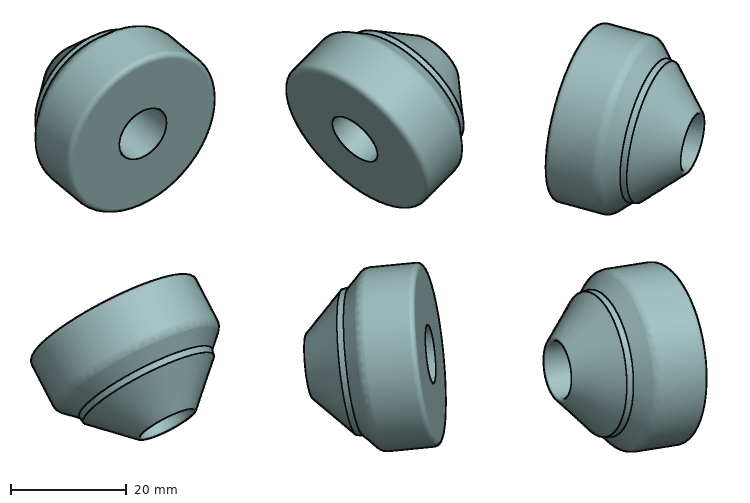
import cadquery as cq
import math

length = 21.2
outer_radius = 16.0
bore_radius = 5.1
lip_radius = 0.4
nose_cone_end = 7.07
seam_x = 8.25
band_end_radius = 12.9
shoulder_fillet = 2.0
rear_fillet = 1.0

diagonal = math.sqrt(0.5)
lip_center_radius = bore_radius + lip_radius
lip_cone_x = lip_radius * (1 - diagonal)
lip_cone_radius = lip_center_radius + lip_radius * diagonal
nose_cone_end_radius = lip_cone_radius + nose_cone_end - lip_cone_x
shoulder_end = seam_x + outer_radius - band_end_radius


def revolve_about_x(profile):
    """Revolve a closed (X, radius) profile a full turn about the X axis."""
    return profile.revolve(360, (0, 0, 0), (1, 0, 0))


def make_nose():
    """Hollow 45 degree cone with a rounded lip and a narrow flared band."""
    profile = (
        cq.Workplane("XY")
        .moveTo(lip_radius, bore_radius)
        .threePointArc((0, lip_center_radius), (lip_cone_x, lip_cone_radius))
        .lineTo(nose_cone_end, nose_cone_end_radius)
        .lineTo(seam_x, band_end_radius)
        .lineTo(seam_x, bore_radius)
        .close()
    )
    return revolve_about_x(profile)


def make_body():
    """Bored cylinder with a 45 degree front shoulder and rounded outer edges."""
    profile = cq.Workplane("XY").polyline([
        (seam_x, bore_radius),
        (seam_x, band_end_radius),
        (shoulder_end, outer_radius),
        (length, outer_radius),
        (length, bore_radius),
    ]).close()
    body = revolve_about_x(profile)
    largest_circle = cq.selectors.RadiusNthSelector(-1)
    body = body.faces(">X").edges(largest_circle).fillet(rear_fillet)
    return body.edges(largest_circle).edges("<X").fillet(shoulder_fillet)


nose = make_nose()
body = make_body()
result = cq.Compound.makeCompound([nose.val(), body.val()])